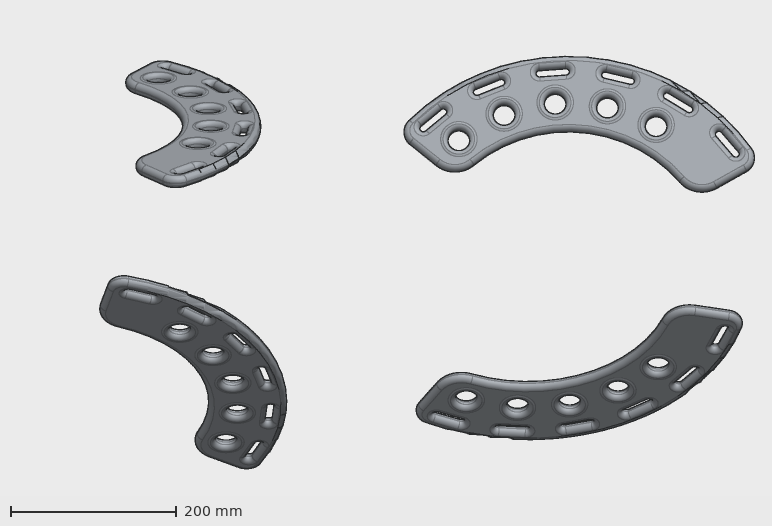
import cadquery as cq
import math

outer_radius = 269.5
inner_radius = 175.0
start_angle = -20.0
end_angle = 90.0
plate_thickness = 15.0
edge_fillet = 7.0
outer_corner_radius = 20.0
inner_corner_radius = 35.0

hole_count = 5
hole_circle_radius = 210.2
hole_middle_angle = 44.1
hole_pitch_angle = 17.3
hole_diameter = 26.0
ring_top_diameter = 38.0
ring_base_diameter = 44.0
overall_thickness = 16.0

slot_count = 6
slot_circle_radius = 249.5
slot_pitch_angle = 18.2
slot_length = 40.0
slot_width = 8.0

mid_angle = (start_angle + end_angle) / 2
plate_half = plate_thickness / 2
overall_half = overall_thickness / 2


def polar(radius, angle):
    """Point at a radius and an angle in degrees about the sector centre."""
    return radius * math.cos(math.radians(angle)), radius * math.sin(math.radians(angle))


def pattern_angles(count, pitch, middle):
    """Evenly spaced angles, half of them on each side of the middle angle."""
    first = middle - pitch * (count - 1) / 2
    return [first + place * pitch for place in range(count)]


def plate_body():
    """Flat sector with two straight radial ends and four rounded corners."""
    sector = (
        cq.Workplane("XY", origin=(0, 0, -plate_half))
        .moveTo(*polar(outer_radius, start_angle))
        .threePointArc(polar(outer_radius, mid_angle), polar(outer_radius, end_angle))
        .lineTo(*polar(inner_radius, end_angle))
        .threePointArc(polar(inner_radius, mid_angle), polar(inner_radius, start_angle))
        .close()
        .extrude(plate_thickness)
    )
    for rim_radius, corner_radius in (
        (outer_radius, outer_corner_radius),
        (inner_radius, inner_corner_radius),
    ):
        for angle in (start_angle, end_angle):
            corner = cq.selectors.NearestToPointSelector((*polar(rim_radius, angle), 0))
            sector = sector.edges("|Z").edges(corner).fillet(corner_radius)
    return sector


def slot_cutters():
    """Straight slots, each square to the radius through its middle."""
    straight_slot = (
        cq.Workplane("XY", origin=(slot_circle_radius, 0, -plate_half))
        .slot2D(slot_length, slot_width, 90)
        .extrude(plate_thickness)
    )
    cutters = cq.Workplane("XY")
    for angle in pattern_angles(slot_count, slot_pitch_angle, mid_angle):
        cutters = cutters.add(straight_slot.rotate((0, 0, 0), (0, 0, 1), angle))
    return cutters.combine()


def ring_body():
    """Solid disc through the plate with a shallow conical rise on both faces."""
    ring_base = ring_base_diameter / 2
    ring_top = ring_top_diameter / 2
    return (
        cq.Workplane("XZ")
        .moveTo(0, -overall_half)
        .lineTo(ring_top, -overall_half)
        .lineTo(ring_base, -plate_half)
        .lineTo(ring_base, plate_half)
        .lineTo(ring_top, overall_half)
        .lineTo(0, overall_half)
        .close()
        .revolve(360, (0, 0), (0, 1))
    )


def hole_cutter():
    """Straight bore whose two mouths flare out in quarter-round arcs."""
    bore = hole_diameter / 2
    mouth = ring_top_diameter / 2
    mouth_radius = mouth - bore
    straight_half = overall_half - mouth_radius
    arc_reach = mouth_radius * math.sqrt(0.5)
    arc_x = mouth - arc_reach
    arc_z = straight_half + arc_reach
    return (
        cq.Workplane("XZ")
        .moveTo(0, -overall_half)
        .lineTo(mouth, -overall_half)
        .threePointArc((arc_x, -arc_z), (bore, -straight_half))
        .lineTo(bore, straight_half)
        .threePointArc((arc_x, arc_z), (mouth, overall_half))
        .lineTo(0, overall_half)
        .close()
        .revolve(360, (0, 0), (0, 1))
    )


plate = plate_body().cut(slot_cutters())
plate = plate.faces("|Z").edges().fillet(edge_fillet)

ring = ring_body()
bore_shape = hole_cutter()
for hole_angle in pattern_angles(hole_count, hole_pitch_angle, hole_middle_angle):
    hole_x, hole_y = polar(hole_circle_radius, hole_angle)
    plate = plate.union(ring.translate((hole_x, hole_y, 0)))
    plate = plate.cut(bore_shape.translate((hole_x, hole_y, 0)))

result = plate